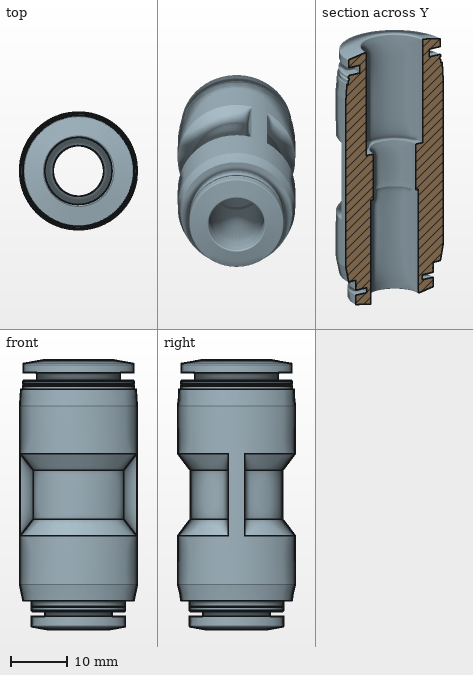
import cadquery as cq
import math


total_height = 48.18
top_z = 24.05
bottom_z = top_z - total_height

body_radius = 21 / 2
upper_taper_z = 15.85
lower_taper_z = -16.0
lower_body_end_radius = 19.8 / 2
lower_body_end_z = -18.95

shoulder_radius = 20.6 / 2
shoulder_z = 18.8
snap_ring_radius = 20 / 2
ring_groove_radius = 19.5 / 2
ring_groove_bottom_z = 19.4
ring_groove_root_z = 19.6
ring_groove_top_z = 19.85
snap_ring_top_z = 20.42
snap_ring_chamfer = 0.25

cone_slope = 0.18
flange_edge_radius = 0.2
neck_fillet_radius = 0.1
upper_neck_radius = 15 / 2
upper_flange_radius = 19.8 / 2
upper_flange_inner_z = 21.8
lower_neck_radius = 12 / 2
lower_flange_radius = 16.8 / 2
lower_flange_inner_z = -21.7

collar_radius = 16.8 / 2
collar_end_z = -20.85
collar_chamfer = 0.2
collar_groove_depth = 0.1
collar_groove_width = 0.15
collar_groove_z = -19.92

waist_radius = 16.5 / 2
waist_half_height = 4.4
waist_cone_half_height = 7.35
rib_width = 3.0

through_radius = 9 / 2
upper_bore_radius = 12 / 2
lower_bore_radius = 10 / 2
upper_bore_end_z = waist_half_height
lower_bore_end_z = -waist_half_height
mouth_fillet_radius = 0.25


def revolve(points):
    """Turn a closed (radius, z) outline around the Z axis."""
    outline = cq.Workplane("XZ").polyline(points).close()
    return outline.revolve(360, (0, 0, 0), (0, 1, 0))


def body():
    """Tapered main body with the shoulder and the grooved snap ring on top."""
    ring_chamfer_radius = snap_ring_radius - snap_ring_chamfer
    ring_chamfer_z = snap_ring_top_z - snap_ring_chamfer
    return revolve([
        (0, lower_body_end_z),
        (lower_body_end_radius, lower_body_end_z),
        (body_radius, lower_taper_z),
        (body_radius, upper_taper_z),
        (shoulder_radius, shoulder_z),
        (snap_ring_radius, shoulder_z),
        (snap_ring_radius, ring_groove_bottom_z),
        (ring_groove_radius, ring_groove_root_z),
        (ring_groove_radius, ring_groove_top_z),
        (snap_ring_radius, ring_groove_top_z),
        (snap_ring_radius, ring_chamfer_z),
        (ring_chamfer_radius, snap_ring_top_z),
        (0, snap_ring_top_z),
    ])


def collar():
    """Grooved collar below the body, chamfered at its lower edge."""
    groove_radius = collar_radius - collar_groove_depth
    groove_bottom_z = collar_groove_z - collar_groove_width
    return revolve([
        (0, lower_body_end_z),
        (collar_radius, lower_body_end_z),
        (collar_radius, collar_groove_z),
        (groove_radius, collar_groove_z),
        (groove_radius, groove_bottom_z),
        (collar_radius, groove_bottom_z),
        (collar_radius, collar_end_z + collar_chamfer),
        (collar_radius - collar_chamfer, collar_end_z),
        (0, collar_end_z),
    ])


def sleeve(neck_radius, flange_radius, bore_radius, start_z, flange_z, end_z):
    """Neck and flange; the end face is a cone that rounds smoothly into the bore."""
    outward = math.copysign(1, end_z)
    cone_angle = math.atan(cone_slope)
    mouth_centre_radius = bore_radius + mouth_fillet_radius
    mouth_centre_z = end_z - outward * mouth_fillet_radius
    cone_inner_radius = mouth_centre_radius + mouth_fillet_radius * math.sin(cone_angle)
    cone_inner_z = mouth_centre_z + outward * mouth_fillet_radius * math.cos(cone_angle)
    rim_z = cone_inner_z - outward * cone_slope * (flange_radius - cone_inner_radius)
    outline = (
        cq.Workplane("XZ")
        .moveTo(bore_radius, start_z)
        .lineTo(neck_radius, start_z)
        .lineTo(neck_radius, flange_z - outward * neck_fillet_radius)
        .tangentArcPoint((neck_radius + neck_fillet_radius, flange_z), relative=False)
        .lineTo(flange_radius, flange_z)
        .lineTo(flange_radius, rim_z)
        .lineTo(cone_inner_radius, cone_inner_z)
        .threePointArc((mouth_centre_radius, end_z), (bore_radius, mouth_centre_z))
        .close()
    )
    blank = outline.revolve(360, (0, 0, 0), (0, 1, 0))
    rim = cq.selectors.NearestToPointSelector((0, 0, rim_z))
    return blank.edges(rim).fillet(flange_edge_radius)


def waist_cut():
    """Material around the waist, without the two ribs; it reaches well past the body."""
    outer_radius = 2 * body_radius - waist_radius
    cone_run = (waist_cone_half_height - waist_half_height) / (body_radius - waist_radius)
    outer_half_height = waist_half_height + cone_run * (outer_radius - waist_radius)
    ring = revolve([
        (waist_radius, -waist_half_height),
        (outer_radius, -outer_half_height),
        (outer_radius, outer_half_height),
        (waist_radius, waist_half_height),
    ])
    ribs = cq.Workplane("XY").box(2 * outer_radius, rib_width, 2 * outer_half_height)
    return ring.cut(ribs)


def bores():
    """Two tube sockets joined by a smaller through hole."""
    return revolve([
        (0, bottom_z),
        (lower_bore_radius, bottom_z),
        (lower_bore_radius, lower_bore_end_z),
        (through_radius, lower_bore_end_z),
        (through_radius, upper_bore_end_z),
        (upper_bore_radius, upper_bore_end_z),
        (upper_bore_radius, top_z),
        (0, top_z),
    ])


upper_sleeve = sleeve(
    upper_neck_radius, upper_flange_radius, upper_bore_radius,
    snap_ring_top_z, upper_flange_inner_z, top_z,
)
lower_sleeve = sleeve(
    lower_neck_radius, lower_flange_radius, lower_bore_radius,
    collar_end_z, lower_flange_inner_z, bottom_z,
)

result = body().cut(waist_cut()).union(collar())
result = result.cut(bores())
result = result.union(upper_sleeve).union(lower_sleeve)